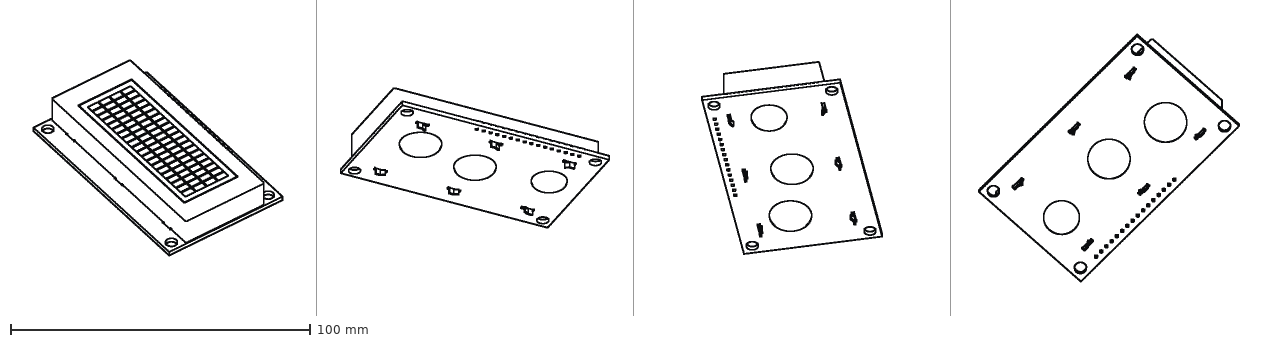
import cadquery as cq
import math

board_length = 77.0
board_width = 47.0
board_thickness = 1.6

mount_hole_diameter = 4.0
mount_spacing_x = 70.1
mount_spacing_y = 40.05

pad_count = 16
pad_pitch = 2.55
pad_width = 1.8
pad_height = 0.1
pad_hole_diameter = 1.0
pad_row_center_x = -9.5
pad_hole_inset = 2.5

housing_length = 76.2
housing_width = 32.6
housing_height = 9.55
housing_corner_radius = 0.55

window_length = 60.05
window_width = 22.0
window_depth = 0.3
cell_columns = 20
cell_rows = 4
cell_area_length = 55.45
cell_area_width = 17.8
cell_gap = 0.4
cell_height = 0.1

total_height = 13.0
leg_spacing = 27.3
leg_half_width = 1.8
leg_thickness = 0.55
leg_bend_angle = 30.0
slot_length = 4.6
slot_clearance = 0.2

blob_height = 1.6
blob_edge_radius = 1.55
small_blob_diameter = 12.0
large_blob_diameter = 14.2
blobs = [
    (-26.2, 2.9, small_blob_diameter),
    (0.0, 0.0, large_blob_diameter),
    (22.55, 4.7, large_blob_diameter),
]

board_bottom = -board_thickness
leg_bottom = housing_height - total_height
leg_outer_y = housing_width / 2
leg_center_y = leg_outer_y - leg_thickness / 2


def box_above(length, width, height, x, y, z):
    """Box centered on (x, y) that rises from level z."""
    return cq.Workplane("XY").box(length, width, height, centered=(True, True, False)).translate((x, y, z))


def cell_centers(count, span):
    """Centers along one axis of equal cells that fill the span with gaps between them."""
    pitch = (span + cell_gap) / count
    return [(i - (count - 1) / 2) * pitch for i in range(count)]


def make_board():
    board = box_above(board_length, board_width, board_thickness, 0, 0, board_bottom)
    mount_holes = (
        cq.Workplane("XY", origin=(0, 0, board_bottom))
        .rect(mount_spacing_x, mount_spacing_y, forConstruction=True)
        .vertices()
        .circle(mount_hole_diameter / 2)
        .extrude(board_thickness)
    )
    return board.cut(mount_holes)


def add_pads(board):
    """Thin pads with a rounded inner end, each drilled through the board."""
    board_edge_y = board_width / 2
    hole_y = board_edge_y - pad_hole_inset
    half_width = pad_width / 2
    pad = (
        cq.Workplane("XY")
        .moveTo(-half_width, board_edge_y)
        .lineTo(-half_width, hole_y)
        .threePointArc((0, hole_y - half_width), (half_width, hole_y))
        .lineTo(half_width, board_edge_y)
        .close()
        .extrude(pad_height)
    )
    drill = (
        cq.Workplane("XY", origin=(0, hole_y, board_bottom))
        .circle(pad_hole_diameter / 2)
        .extrude(board_thickness + pad_height)
    )
    for i in range(pad_count):
        x = pad_row_center_x + (i - (pad_count - 1) / 2) * pad_pitch
        board = board.union(pad.translate((x, 0, 0))).cut(drill.translate((x, 0, 0)))
    return board


def make_housing():
    housing = box_above(housing_length, housing_width, housing_height, 0, 0, 0)
    housing = housing.edges("|Z").fillet(housing_corner_radius)
    window_floor = housing_height - window_depth
    housing = housing.cut(box_above(window_length, window_width, window_depth, 0, 0, window_floor))

    cell_length = (cell_area_length + cell_gap) / cell_columns - cell_gap
    cell_width = (cell_area_width + cell_gap) / cell_rows - cell_gap
    centers = [
        (x, y)
        for x in cell_centers(cell_columns, cell_area_length)
        for y in cell_centers(cell_rows, cell_area_width)
    ]
    cells = (
        cq.Workplane("XY", origin=(0, 0, window_floor))
        .pushPoints(centers)
        .rect(cell_length, cell_width)
        .extrude(cell_height)
    )
    return housing.union(cells)


def make_slot(x):
    """Board slot around the leg on the +Y side."""
    slot_width = leg_thickness + 2 * slot_clearance
    return box_above(slot_length, slot_width, board_thickness, x, leg_center_y, board_bottom)


def make_leg(x, bend_side):
    """Leg on the +Y side; bend_side is +1 or -1, the X direction of the bent half."""
    shank = box_above(2 * leg_half_width, leg_thickness, board_thickness, x, leg_center_y, board_bottom)

    angle = math.radians(leg_bend_angle)
    along = (math.cos(angle) * leg_half_width, -math.sin(angle) * leg_half_width)
    across = (-math.sin(angle) * leg_thickness, -math.cos(angle) * leg_thickness)
    inner_corner_x = -math.tan(angle / 2) * leg_thickness
    outline = [
        (-leg_half_width, 0),
        (0, 0),
        along,
        (along[0] + across[0], along[1] + across[1]),
        (inner_corner_x, -leg_thickness),
        (-leg_half_width, -leg_thickness),
    ]
    bent_end = (
        cq.Workplane("XY", origin=(x, leg_outer_y, leg_bottom))
        .polyline([(bend_side * px, py) for px, py in outline])
        .close()
        .extrude(board_bottom - leg_bottom)
    )
    return shank.union(bent_end)


def make_blob(x, y, diameter):
    """Round cover hanging below the board with a rounded lower rim."""
    return (
        cq.Workplane("XY", origin=(x, y, board_bottom))
        .circle(diameter / 2)
        .extrude(-blob_height)
        .faces("<Z")
        .edges()
        .fillet(blob_edge_radius)
    )


result = add_pads(make_board())

legs = []
for leg_x, bend_side in [(-leg_spacing, 1), (0, -1), (leg_spacing, -1)]:
    slot = make_slot(leg_x)
    leg = make_leg(leg_x, bend_side)
    result = result.cut(slot).cut(slot.mirror("XZ"))
    legs += [leg, leg.mirror("XZ")]

result = result.union(make_housing())
for leg in legs:
    result = result.union(leg)
for blob_x, blob_y, blob_diameter in blobs:
    result = result.union(make_blob(blob_x, blob_y, blob_diameter))